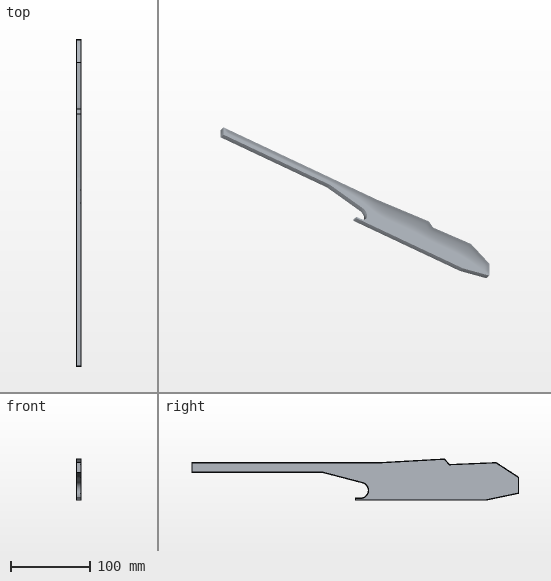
import cadquery as cq
import math

length = 411.0
height = 52.0
thickness = 6.0

nose_bottom = 8.5
nose_top = 28.8
belly_start = 41.0
shoulder_station = 28.5
shoulder_height = 47.3

step_foot_station = 87.0
step_foot_height = 45.0
step_peak_station = 93.5

arm_top = 47.3
arm_width = 12.5
arm_bottom = arm_top - arm_width
arm_top_start = 173.5
arm_bottom_start = 246.5

lip_end = 205.5
lip_thickness = 2.5
slot_radius = 10.0
slot_station = 199.0
slot_height = lip_thickness + slot_radius

run = arm_bottom_start - slot_station
rise = arm_bottom - slot_height
edge_angle = math.atan2(rise, run) - math.asin(slot_radius / math.hypot(run, rise))


def at(station, z):
    """Profile point at a distance from the nose face, with Y centred on the part."""
    return (length / 2 - station, z)


tangent_point = at(
    slot_station - slot_radius * math.sin(edge_angle),
    slot_height + slot_radius * math.cos(edge_angle),
)

result = (
    cq.Workplane("YZ")
    .moveTo(*at(0, nose_bottom))
    .lineTo(*at(0, nose_top))
    .lineTo(*at(shoulder_station, shoulder_height))
    .lineTo(*at(step_foot_station, step_foot_height))
    .lineTo(*at(step_peak_station, height))
    .lineTo(*at(arm_top_start, arm_top))
    .lineTo(*at(length, arm_top))
    .lineTo(*at(length, arm_bottom))
    .lineTo(*at(arm_bottom_start, arm_bottom))
    .lineTo(*tangent_point)
    .threePointArc(at(slot_station - slot_radius, slot_height), at(slot_station, lip_thickness))
    .lineTo(*at(lip_end, lip_thickness))
    .lineTo(*at(lip_end, 0))
    .lineTo(*at(belly_start, 0))
    .close()
    .extrude(thickness / 2, both=True)
)